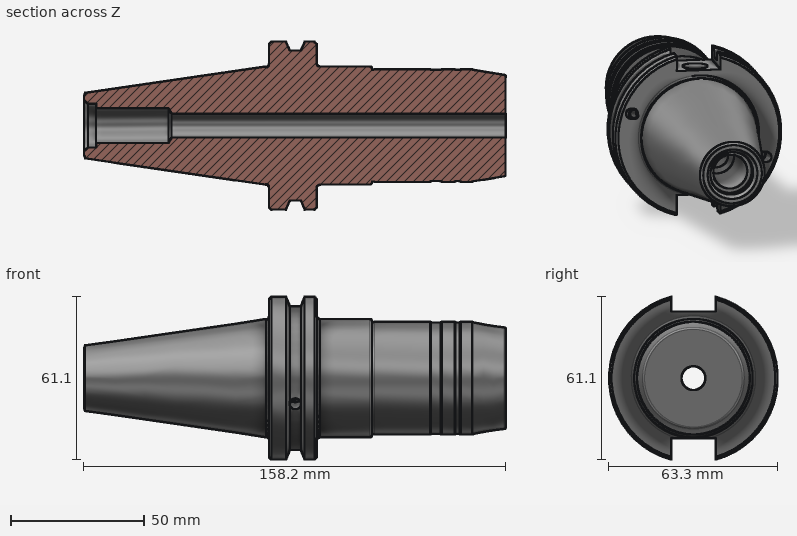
import cadquery as cq
import math

total_length = 158.2

taper_ratio = 7 / 24
taper_length = 68.2
taper_large_diameter = 44.5
taper_small_diameter = taper_large_diameter - taper_ratio * taper_length
taper_end_chamfer_length = 0.5
taper_end_chamfer_height = 1.1

neck_diameter = 43.8
flange_root_radius = 1.1

flange_diameter = 63.3
flange_start = taper_length + flange_root_radius
flange_end = 87.4
flange_chamfer_length = 1.0
flange_chamfer_height = 1.0
gripper_groove_diameter = 56.5
gripper_groove_center = 79.3
gripper_groove_floor_width = 4.1
gripper_groove_mouth_width = 7.0

slot_width = 16.6
top_slot_floor = 25.0
bottom_slot_floor = 22.6
dimple_diameter = 9.5
dimple_x = 76.9
drill_point_angle = 118.0

body_diameter = 44.5
body_end = 108.1
body_end_radius = 1.0
sleeve_diameter = 42.4
sleeve_edge_length = 1.0
sleeve_edge_height = 0.24
ring_groove_diameter = 42.0
ring_groove_spans = [(129.8, 134.2), (139.0, 141.3)]
ring_groove_edge_length = 0.5
nose_start = 146.0
nose_start_diameter = 42.0
nose_step_length = 0.5
nose_end_diameter = 38.0
nose_edge_radius = 0.8

mouth_diameter = 19.0
mouth_depth = 1.6
pilot_diameter = 16.3
pilot_depth = 4.6
thread_bore_diameter = 13.0
thread_bore_depth = 31.6
through_diameter = 8.9

coolant_angle = 20.0
coolant_port_diameter = 4.0
coolant_port_depth = 2.0
coolant_duct_diameter = 3.2
coolant_port_radius = 27.0
coolant_tilt = 33.0
vent_diameter = 4.3


def drill_tip_height(diameter):
    """Axial length of the cone that a drill of this diameter leaves."""
    return diameter / 2 / math.tan(math.radians(drill_point_angle / 2))


def make_shank_body():
    """Revolve the outer profile about the X axis."""
    taper_small_radius = taper_small_diameter / 2
    taper_chamfer_radius = taper_small_radius + taper_ratio / 2 * taper_end_chamfer_length
    neck_radius = neck_diameter / 2
    flange_radius = flange_diameter / 2
    flange_edge_radius = flange_radius - flange_chamfer_height
    groove_radius = gripper_groove_diameter / 2
    half_floor = gripper_groove_floor_width / 2
    half_mouth = gripper_groove_mouth_width / 2
    body_radius = body_diameter / 2
    sleeve_radius = sleeve_diameter / 2
    ring_radius = ring_groove_diameter / 2
    nose_end_radius = nose_end_diameter / 2
    root = flange_root_radius
    quarter_sag = 1 - math.sqrt(0.5)

    profile = (
        cq.Workplane("XY")
        .moveTo(0, 0)
        .lineTo(0, taper_small_radius - taper_end_chamfer_height)
        .lineTo(taper_end_chamfer_length, taper_chamfer_radius)
        .lineTo(taper_length, taper_large_diameter / 2)
        .lineTo(taper_length, neck_radius)
        .threePointArc(
            (flange_start - root * quarter_sag, neck_radius + root * quarter_sag),
            (flange_start, neck_radius + root),
        )
        .lineTo(flange_start, flange_edge_radius)
        .lineTo(flange_start + flange_chamfer_length, flange_radius)
        .lineTo(gripper_groove_center - half_mouth, flange_radius)
        .lineTo(gripper_groove_center - half_floor, groove_radius)
        .lineTo(gripper_groove_center + half_floor, groove_radius)
        .lineTo(gripper_groove_center + half_mouth, flange_radius)
        .lineTo(flange_end - flange_chamfer_length, flange_radius)
        .lineTo(flange_end, flange_edge_radius)
        .lineTo(flange_end, body_radius + root)
        .threePointArc(
            (flange_end + root * quarter_sag, body_radius + root * quarter_sag),
            (flange_end + root, body_radius),
        )
        .lineTo(body_end - body_end_radius, body_radius)
        .threePointArc(
            (body_end - body_end_radius * quarter_sag, body_radius - body_end_radius * quarter_sag),
            (body_end, body_radius - body_end_radius),
        )
        .lineTo(body_end, sleeve_radius - sleeve_edge_height)
        .lineTo(body_end + sleeve_edge_length, sleeve_radius)
    )
    for groove_start, groove_end in ring_groove_spans:
        profile = (
            profile.lineTo(groove_start, sleeve_radius)
            .lineTo(groove_start + ring_groove_edge_length, ring_radius)
            .lineTo(groove_end - ring_groove_edge_length, ring_radius)
            .lineTo(groove_end, sleeve_radius)
        )
    profile = (
        profile.lineTo(nose_start - nose_step_length, sleeve_radius)
        .lineTo(nose_start, nose_start_diameter / 2)
        .lineTo(total_length, nose_end_radius)
        .lineTo(total_length, 0)
        .close()
    )
    body = profile.revolve(360, (0, 0, 0), (1, 0, 0))
    return body.faces(">X").edges().fillet(nose_edge_radius)


def make_bore():
    """Stepped bore, entered from the small end of the taper."""
    thread_radius = thread_bore_diameter / 2
    through_radius = through_diameter / 2
    cone_length = drill_tip_height(thread_bore_diameter) - drill_tip_height(through_diameter)
    return (
        cq.Workplane("XY")
        .moveTo(0, 0)
        .lineTo(0, mouth_diameter / 2)
        .lineTo(mouth_depth, pilot_diameter / 2)
        .lineTo(pilot_depth, pilot_diameter / 2)
        .lineTo(pilot_depth, thread_radius)
        .lineTo(thread_bore_depth, thread_radius)
        .lineTo(thread_bore_depth + cone_length, through_radius)
        .lineTo(total_length, through_radius)
        .lineTo(total_length, 0)
        .close()
        .revolve(360, (0, 0, 0), (1, 0, 0))
    )


def make_slot(floor_height, side):
    """Drive slot through the flange; side is +1 for the top and -1 for the bottom."""
    slot_height = flange_diameter / 2 - floor_height
    slot_center = side * (floor_height + slot_height / 2)
    slot_length = flange_end - flange_start + 2 * flange_root_radius
    return cq.Workplane("XY").box(slot_length, slot_width, slot_height).translate(
        ((flange_start + flange_end) / 2, 0, slot_center)
    )


def make_dimple():
    """Conical drill point sunk in the floor of the top slot."""
    return cq.Workplane(
        cq.Solid.makeCone(
            dimple_diameter / 2,
            0,
            drill_tip_height(dimple_diameter),
            cq.Vector(dimple_x, 0, top_slot_floor),
            cq.Vector(0, 0, -1),
        )
    )


def make_coolant_passage():
    """Port and duct leaning inward from the flange face, met by a vent from the groove."""
    tilt = math.radians(coolant_tilt)
    direction = cq.Vector(math.cos(tilt), -math.sin(tilt), 0)
    mouth = cq.Vector(flange_start, coolant_port_radius, 0)
    duct_length = (gripper_groove_center - flange_start) / math.cos(tilt)
    overrun = coolant_port_diameter
    port = cq.Solid.makeCylinder(
        coolant_port_diameter / 2,
        coolant_port_depth + overrun,
        mouth - direction * overrun,
        direction,
    )
    duct = cq.Solid.makeCylinder(coolant_duct_diameter / 2, duct_length, mouth, direction)
    duct_end_radius = coolant_port_radius - duct_length * math.sin(tilt)
    vent = cq.Solid.makeCylinder(
        vent_diameter / 2,
        flange_diameter / 2 - duct_end_radius,
        cq.Vector(gripper_groove_center, duct_end_radius, 0),
        cq.Vector(0, 1, 0),
    )
    return cq.Workplane(port.fuse(duct, vent))


result = make_shank_body().cut(make_bore())
result = result.cut(make_slot(top_slot_floor, 1))
result = result.cut(make_slot(bottom_slot_floor, -1))
result = result.cut(make_dimple())
for half_turn in (0, 180):
    passage = make_coolant_passage().rotate((0, 0, 0), (1, 0, 0), coolant_angle + half_turn)
    result = result.cut(passage)